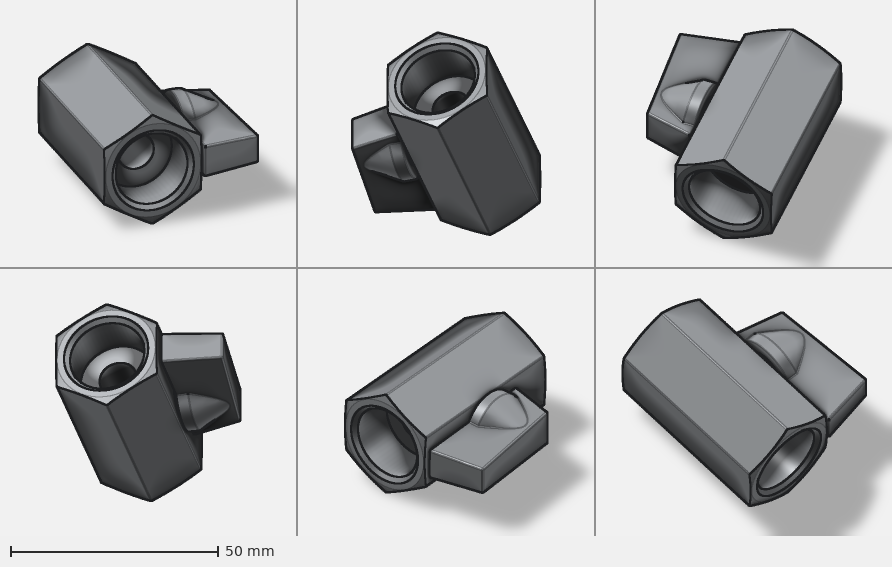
import cadquery as cq
import math

body_length = 46.0
across_flats = 25.0
corner_rounding = 0.5
end_face_diameter = 24.45
end_chamfer_angle = 15.0

socket_diameter = 18.5
socket_mouth_diameter = 20.98
socket_depth = 11.95
socket_chamfer_length = 1.1
passage_diameter = 9.2

stem_diameter = 10.95
stem_gap = 1.1

hub_diameter = 17.65
hub_disc_height = 3.0
hub_cone_height = 9.2
hub_cone_angle = 27.5
hub_rim_rounding = 0.5

grip_base_left = -10.55
grip_base_right = 22.5
grip_base_width_left = 10.05
grip_base_width_right = 8.2
grip_top_left = -7.65
grip_top_right = 19.95
grip_height_left = 12.35
grip_height_right = 14.7
grip_top_width_left = 9.3
grip_top_width_right = 7.18
grip_rounding = 0.5
hub_blend = 0.4
handle_base_rounding = 0.2

hexagon_half_angle = 30.0
handle_base = across_flats / 2 + stem_gap

pick_margin = 0.45


def turned_along_y(profile):
    """Revolve (radius, height) points about the Y axis."""
    return cq.Workplane("XY").polyline(profile).close().revolve(360, (0, 0, 0), (0, 1, 0))


def turned_along_x(profile):
    """Revolve (position, radius) points about the X axis."""
    return cq.Workplane("XY").polyline(profile).close().revolve(360, (0, 0, 0), (1, 0, 0))


def make_body():
    """Hexagonal bar with rounded long edges and conically chamfered ends."""
    across_corners = across_flats / math.cos(math.radians(hexagon_half_angle))
    half_length = body_length / 2
    bar = (
        cq.Workplane("YZ")
        .polygon(6, across_corners)
        .extrude(half_length, both=True)
        .rotate((0, 0, 0), (1, 0, 0), hexagon_half_angle)
        .edges("|X")
        .fillet(corner_rounding)
    )
    end_radius = end_face_diameter / 2
    outer_radius = across_corners / 2
    chamfer_length = (outer_radius - end_radius) * math.tan(math.radians(end_chamfer_angle))
    envelope = turned_along_x([
        (-half_length, 0),
        (-half_length, end_radius),
        (-half_length + chamfer_length, outer_radius),
        (half_length - chamfer_length, outer_radius),
        (half_length, end_radius),
        (half_length, 0),
    ])
    return bar.intersect(envelope)


def make_passage():
    """Stepped bore through the body, with a tapered mouth at both ends."""
    half_length = body_length / 2
    mouth_radius = socket_mouth_diameter / 2
    socket_radius = socket_diameter / 2
    passage_radius = passage_diameter / 2
    taper_end = half_length - socket_chamfer_length
    floor = half_length - socket_depth
    return turned_along_x([
        (-half_length, 0),
        (-half_length, mouth_radius),
        (-taper_end, socket_radius),
        (-floor, socket_radius),
        (-floor, passage_radius),
        (floor, passage_radius),
        (floor, socket_radius),
        (taper_end, socket_radius),
        (half_length, mouth_radius),
        (half_length, 0),
    ])


def make_stem():
    """Short round stem, running from the handle's base into the body wall."""
    return cq.Workplane("XZ", origin=(0, handle_base, 0)).circle(stem_diameter / 2).extrude(2 * stem_gap)


def make_grip():
    """Tapered grip with straight-ruled sides and rounded edges."""
    base_left_half = grip_base_width_left / 2
    base_right_half = grip_base_width_right / 2
    top_left_half = grip_top_width_left / 2
    top_right_half = grip_top_width_right / 2
    left_top = handle_base + grip_height_left
    right_top = handle_base + grip_height_right
    base = cq.Wire.makePolygon([
        cq.Vector(grip_base_left, handle_base, -base_left_half),
        cq.Vector(grip_base_right, handle_base, -base_right_half),
        cq.Vector(grip_base_right, handle_base, base_right_half),
        cq.Vector(grip_base_left, handle_base, base_left_half),
    ], close=True)
    top = cq.Wire.makePolygon([
        cq.Vector(grip_top_left, left_top, -top_left_half),
        cq.Vector(grip_top_right, right_top, -top_right_half),
        cq.Vector(grip_top_right, right_top, top_right_half),
        cq.Vector(grip_top_left, left_top, top_left_half),
    ], close=True)
    grip = cq.Workplane(cq.Solid.makeLoft([base, top], ruled=True))
    raised_edges = cq.selectors.BoxSelector(
        (grip_base_left, handle_base + pick_margin, -base_left_half),
        (grip_base_right, right_top + pick_margin, base_left_half),
    )
    return grip.edges(raised_edges).fillet(grip_rounding)


def make_hub():
    """Round disc, its rim eased, with a truncated cone rising into the grip."""
    hub_radius = hub_diameter / 2
    disc_top = handle_base + hub_disc_height
    cone_top = disc_top + hub_cone_height
    cone_top_radius = hub_radius - hub_cone_height * math.tan(math.radians(hub_cone_angle))
    hub = turned_along_y([
        (0, handle_base),
        (hub_radius, handle_base),
        (hub_radius, disc_top),
        (cone_top_radius, cone_top),
        (0, cone_top),
    ])
    reach = hub_radius + pick_margin
    disc_rim = cq.selectors.BoxSelector(
        (-reach, disc_top - pick_margin, -reach),
        (reach, disc_top + pick_margin, reach),
        boundingbox=True,
    )
    return hub.edges(disc_rim).fillet(hub_rim_rounding)


def make_handle():
    """Grip and hub joined, blended at the grip's sides and rounded around the base."""
    handle = make_grip().union(make_hub())
    hub_radius = hub_diameter / 2
    side_seams = cq.selectors.BoxSelector(
        (-hub_radius, handle_base + pick_margin, -hub_radius),
        (hub_radius, handle_base + hub_disc_height + hub_cone_height, hub_radius),
    )
    blended = handle.edges(side_seams).edges("%BSPLINE").fillet(hub_blend)
    return blended.faces("<Y").edges().fillet(handle_base_rounding)


result = make_body().cut(make_passage()).union(make_stem()).union(make_handle())